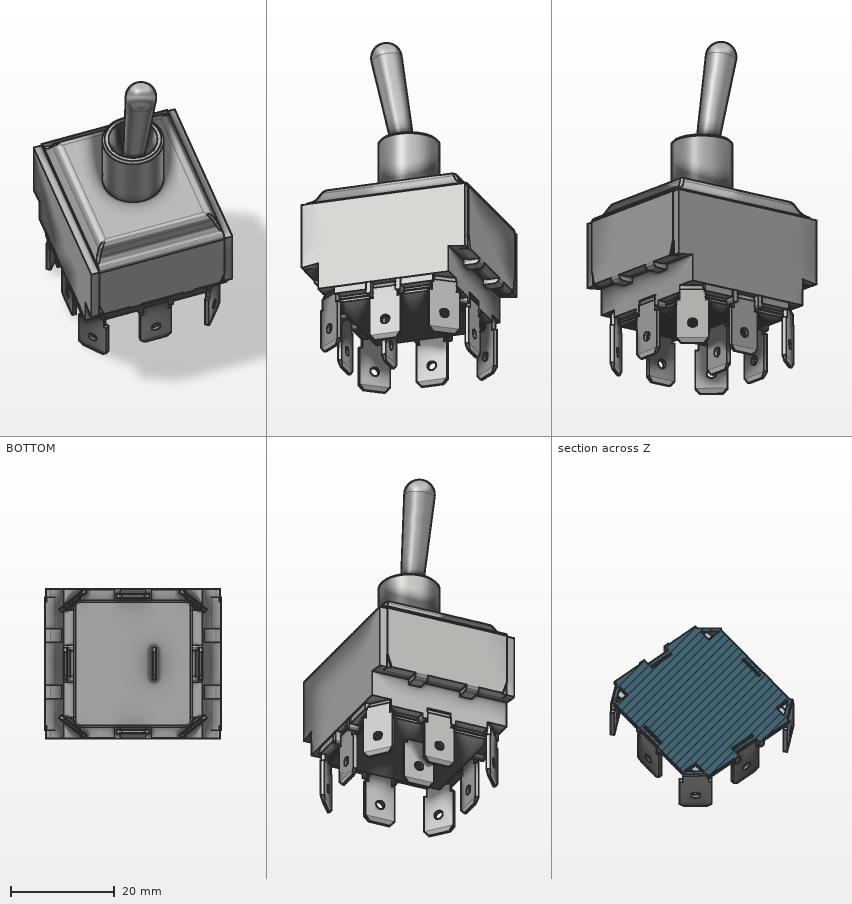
import cadquery as cq
import math

TOTAL_HEIGHT = 66.65

HOUSING_LENGTH = 33.6
HOUSING_WIDTH = 28.85
HOUSING_TOP = 29.5
CORE_LENGTH = 33.2
WING_BOTTOM = 16.6
STEM_LENGTH = 26.8
STEM_BOTTOM = 11.7
WING_RELIEF_LENGTH = 32.0
WING_RELIEF_TOP = 17.0

COVER_LENGTH = 34.0
COVER_WIDTH = 25.6
COVER_TOP = 33.6
COVER_BOTTOM = 16.7
COVER_CORNER_CUT = 0.85
COVER_CORNER_CUT_HEIGHT = 2.65
FLAT_HALF_LENGTH = 12.4
FLAT_HALF_WIDTH = 10.0
CROWN_EDGE_Z = 32.5
CROWN_HALF_LENGTH = 14.0
CROWN_HALF_WIDTH = 11.8
SLOPE_FOOT_HALF_LENGTH = 14.6
SLOPE_FOOT_Z = 31.45
SHOULDER_HALF_LENGTH = 16.05
SHOULDER_Z = 30.4
MITRE_BEVEL = 0.5
DIAGONAL_TURN = 45.0

CLIP_WIDTH = 2.6
CLIP_SPACING = 10.9
CLIP_BOTTOM = 15.7
CLIP_INNER_X = 13.7
CLIP_BEND_RADIUS = COVER_BOTTOM - CLIP_BOTTOM

BASE_BOTTOM = 10.3
BASE_WIDTH = 28.5
CORNER_POCKET_X = 10.1
CORNER_POCKET_Y = 10.3
SOLE_STEP_Z = 9.85
SOLE_BOTTOM = 9.3
SOLE_INSET = 2.0
SOLE_LENGTH = STEM_LENGTH - 2 * SOLE_INSET
SOLE_WIDTH = BASE_WIDTH - 2 * SOLE_INSET
SOLE_STEP = 0.4
RIB_WIDTH = 1.05
RIB_SPAN_X = STEM_LENGTH
RIB_SPAN_Y = 29.0
RIB_TIP_RADIUS = 0.4

BLADE_WIDTH = 6.25
BLADE_THICKNESS = 0.8
BLADE_SHOULDER_Z = 8.65
NECK_WIDTH = 5.0
NECK_BEND_Z = 10.7
NECK_BEND_RUN = 0.5
TIP_WIDTH = 4.4
TIP_THICKNESS = 0.4
TIP_HEIGHT = 1.05
BLADE_HOLE_DIAMETER = 1.8
BLADE_HOLE_Z = 4.0
SIDE_BLADE_OFFSET = 13.05
CORNER_BLADE_X = 11.6
CORNER_BLADE_Y = 12.1
CORNER_BLADE_TURN = 39.0
CENTRE_BLADE_X = 4.05

BUSHING_DIAMETER = 11.85
BUSHING_TOP = 45.6
BUSHING_CHAMFER = 0.45
BUSHING_MOUTH_DIAMETER = 9.45

LEVER_TILT = 10.5
PIVOT_Z = 38.65
PIVOT_DIAMETER = 5.4
LEVER_ROOT_RADIUS = 1.85
LEVER_TIP_RADIUS = 3.0


def block(length, width, bottom, top):
    """Box centred on the Z axis between two heights."""
    return cq.Workplane("XY").workplane(offset=bottom).rect(length, width).extrude(top - bottom)


def make_wing_relief():
    """Space under the wings, rising gently towards the stem."""
    return (
        cq.Workplane("XZ")
        .polyline([
            (-WING_RELIEF_LENGTH / 2, WING_BOTTOM),
            (WING_RELIEF_LENGTH / 2, WING_BOTTOM),
            (STEM_LENGTH / 2, WING_RELIEF_TOP),
            (-STEM_LENGTH / 2, WING_RELIEF_TOP),
        ])
        .close()
        .extrude(HOUSING_WIDTH / 2, both=True)
    )


def make_housing():
    """Core between two full-length side plates, with a narrower stem running down through both."""
    core = block(CORE_LENGTH, COVER_WIDTH, COVER_BOTTOM, HOUSING_TOP)
    wings = block(HOUSING_LENGTH, HOUSING_WIDTH, WING_BOTTOM, HOUSING_TOP).cut(
        block(HOUSING_LENGTH, COVER_WIDTH, WING_BOTTOM, HOUSING_TOP)
    )
    stem = block(STEM_LENGTH, HOUSING_WIDTH, STEM_BOTTOM, HOUSING_TOP)
    return core.union(wings).cut(make_wing_relief()).union(stem)


def make_mitre_envelope():
    """Solid whose diagonal flanks bevel the four mitred corners of the cover."""
    reach = COVER_LENGTH
    half_width = COVER_WIDTH / 2
    drop_share = (CROWN_EDGE_Z - SLOPE_FOOT_Z) / (CROWN_EDGE_Z - SHOULDER_Z)
    slope_foot_half_width = CROWN_HALF_WIDTH + drop_share * (half_width - CROWN_HALF_WIDTH)

    def diagonal(x, y, bevel):
        return (x + y - bevel) / math.sqrt(2)

    flat_d = diagonal(FLAT_HALF_LENGTH, FLAT_HALF_WIDTH, 0)
    crown_d = diagonal(CROWN_HALF_LENGTH, CROWN_HALF_WIDTH, MITRE_BEVEL)
    foot_d = diagonal(SLOPE_FOOT_HALF_LENGTH, slope_foot_half_width, MITRE_BEVEL)
    shoulder_d = diagonal(SHOULDER_HALF_LENGTH, half_width, 0)
    half_profile = (
        cq.Workplane("XZ")
        .moveTo(0, COVER_TOP)
        .lineTo(flat_d, COVER_TOP)
        .tangentArcPoint((crown_d, CROWN_EDGE_Z), relative=False)
        .lineTo(foot_d, SLOPE_FOOT_Z)
        .tangentArcPoint((shoulder_d, SHOULDER_Z), relative=False)
        .lineTo(reach, SHOULDER_Z)
        .lineTo(reach, COVER_BOTTOM)
        .lineTo(0, COVER_BOTTOM)
        .close()
        .extrude(reach, both=True)
    )
    profile = half_profile.union(half_profile.mirror("YZ"))
    turned = profile.rotate((0, 0, 0), (0, 0, 1), DIAGONAL_TURN)
    return turned.intersect(profile.rotate((0, 0, 0), (0, 0, 1), -DIAGONAL_TURN))


def make_cover():
    """Crowned cover whose end panels have clipped lower corners."""
    half_length = COVER_LENGTH / 2
    half_width = COVER_WIDTH / 2
    half_lengthwise = (
        cq.Workplane("XZ")
        .moveTo(0, COVER_TOP)
        .lineTo(FLAT_HALF_LENGTH, COVER_TOP)
        .tangentArcPoint((CROWN_HALF_LENGTH, CROWN_EDGE_Z), relative=False)
        .lineTo(SLOPE_FOOT_HALF_LENGTH, SLOPE_FOOT_Z)
        .tangentArcPoint((SHOULDER_HALF_LENGTH, SHOULDER_Z), relative=False)
        .tangentArcPoint((half_length, HOUSING_TOP), relative=False)
        .lineTo(half_length, COVER_BOTTOM)
        .lineTo(0, COVER_BOTTOM)
        .close()
        .extrude(half_width, both=True)
    )
    half_crosswise = (
        cq.Workplane("YZ")
        .moveTo(0, COVER_TOP)
        .lineTo(FLAT_HALF_WIDTH, COVER_TOP)
        .tangentArcPoint((CROWN_HALF_WIDTH, CROWN_EDGE_Z), relative=False)
        .lineTo(half_width, SHOULDER_Z)
        .lineTo(half_width, COVER_BOTTOM + COVER_CORNER_CUT_HEIGHT)
        .lineTo(half_width - COVER_CORNER_CUT, COVER_BOTTOM)
        .lineTo(0, COVER_BOTTOM)
        .close()
        .extrude(half_length, both=True)
    )
    lengthwise = half_lengthwise.union(half_lengthwise.mirror("YZ"))
    crosswise = half_crosswise.union(half_crosswise.mirror("XZ"))
    cover = lengthwise.intersect(crosswise)
    return cover.intersect(make_mitre_envelope()).cut(make_wing_relief())


def make_clips():
    """Four clips, rounded where they bend under the cover end panels."""
    clip_length = COVER_LENGTH / 2 - CLIP_INNER_X
    clip = (
        cq.Workplane("XY")
        .workplane(offset=CLIP_BOTTOM)
        .center(CLIP_INNER_X + clip_length / 2, 0)
        .rect(clip_length, CLIP_WIDTH)
        .extrude(WING_RELIEF_TOP - CLIP_BOTTOM)
        .edges(">X and <Z")
        .fillet(CLIP_BEND_RADIUS)
    )
    pair = clip.translate((0, CLIP_SPACING / 2, 0)).union(clip.translate((0, -CLIP_SPACING / 2, 0)))
    return pair.union(pair.mirror("YZ"))


def make_base():
    """Cross-shaped base with open corners, standing on a stepped sole."""
    lengthwise_core = block(2 * CORNER_POCKET_X, BASE_WIDTH, BASE_BOTTOM, STEM_BOTTOM)
    crosswise_core = block(STEM_LENGTH, 2 * CORNER_POCKET_Y, BASE_BOTTOM, STEM_BOTTOM)
    base = lengthwise_core.union(crosswise_core)

    pocket_floor = SIDE_BLADE_OFFSET - NECK_BEND_RUN - BLADE_THICKNESS / 2
    neck_lanes = block(STEM_LENGTH, NECK_WIDTH, BASE_BOTTOM, STEM_BOTTOM).union(
        block(NECK_WIDTH, BASE_WIDTH, BASE_BOTTOM, STEM_BOTTOM)
    )
    pockets = neck_lanes.cut(block(2 * pocket_floor, 2 * pocket_floor, BASE_BOTTOM, STEM_BOTTOM))
    base = base.cut(pockets)

    upper_sole = block(SOLE_LENGTH, SOLE_WIDTH, SOLE_STEP_Z, BASE_BOTTOM)
    lower_sole = block(SOLE_LENGTH - 2 * SOLE_STEP, SOLE_WIDTH - 2 * SOLE_STEP, SOLE_BOTTOM, SOLE_STEP_Z)
    return base.union(upper_sole).union(lower_sole)


def make_ribs():
    """Round-tipped ribs on both flanks of each side blade neck."""
    offset = (NECK_WIDTH + RIB_WIDTH) / 2

    def rib_bar(length, width, tip_edges):
        bar = block(length, width, SOLE_BOTTOM, STEM_BOTTOM)
        return bar.edges(tip_edges).fillet(RIB_TIP_RADIUS)

    along_x = rib_bar(RIB_SPAN_X, RIB_WIDTH, "|X and <Z")
    along_y = rib_bar(RIB_WIDTH, RIB_SPAN_Y, "|Y and <Z")
    ribs = cq.Workplane("XY")
    for side in (-offset, offset):
        ribs = ribs.union(along_x.translate((0, side, 0))).union(along_y.translate((side, 0, 0)))
    return ribs.cut(block(SOLE_LENGTH, SOLE_WIDTH, SOLE_BOTTOM, STEM_BOTTOM))


def make_blade(bent):
    """Blade in the XZ plane whose outer side faces -Y; a bent neck leans inward, towards +Y."""
    half = BLADE_THICKNESS / 2
    lean = NECK_BEND_RUN if bent else 0
    outline_right = [
        (TIP_WIDTH / 2, 0),
        (BLADE_WIDTH / 2, TIP_HEIGHT),
        (BLADE_WIDTH / 2, BLADE_SHOULDER_Z),
        (NECK_WIDTH / 2, BLADE_SHOULDER_Z),
        (NECK_WIDTH / 2, STEM_BOTTOM),
    ]
    outline_left = [(-x, z) for x, z in reversed(outline_right)]
    face = cq.Workplane("XZ").polyline(outline_right + outline_left).close()
    reach = lean + BLADE_THICKNESS
    side = (
        cq.Workplane("YZ")
        .polyline([
            (-TIP_THICKNESS / 2, 0),
            (TIP_THICKNESS / 2, 0),
            (half, TIP_HEIGHT),
            (half, NECK_BEND_Z),
            (half + lean, STEM_BOTTOM),
            (-half + lean, STEM_BOTTOM),
            (-half, NECK_BEND_Z),
            (-half, TIP_HEIGHT),
        ])
        .close()
        .extrude(BLADE_WIDTH / 2, both=True)
    )
    hole = (
        cq.Workplane("XZ")
        .center(0, BLADE_HOLE_Z)
        .circle(BLADE_HOLE_DIAMETER / 2)
        .extrude(BLADE_THICKNESS, both=True)
    )
    return face.extrude(reach, both=True).intersect(side).cut(hole)


def make_blades():
    """Eight bent blades around the rim and one straight blade near the middle."""
    bent_blade = make_blade(bent=True)

    def placed(blade, turn, x, y):
        return blade.rotate((0, 0, 0), (0, 0, 1), turn).translate((x, y, 0))

    blades = placed(make_blade(bent=False), 90, CENTRE_BLADE_X, 0)
    for x_side in (-1, 1):
        side_turn = 90 * x_side
        blades = blades.union(placed(bent_blade, side_turn, x_side * SIDE_BLADE_OFFSET, 0))
    for y_side in (-1, 1):
        facing = 0 if y_side < 0 else 180
        blades = blades.union(placed(bent_blade, facing, 0, y_side * SIDE_BLADE_OFFSET))
        for x_side in (-1, 1):
            turn = facing - x_side * y_side * CORNER_BLADE_TURN
            blades = blades.union(
                placed(bent_blade, turn, x_side * CORNER_BLADE_X, y_side * CORNER_BLADE_Y)
            )
    return blades


def make_bushing():
    """Bushing with a conical mouth that narrows down to the pivot ball."""
    outer = BUSHING_DIAMETER / 2
    return (
        cq.Workplane("XZ")
        .polyline([
            (0, HOUSING_TOP),
            (outer, HOUSING_TOP),
            (outer, BUSHING_TOP - BUSHING_CHAMFER),
            (outer - BUSHING_CHAMFER, BUSHING_TOP),
            (BUSHING_MOUTH_DIAMETER / 2, BUSHING_TOP),
            (PIVOT_DIAMETER / 2, PIVOT_Z),
            (0, PIVOT_Z),
        ])
        .close()
        .revolve(360, (0, 0), (0, 1))
    )


def make_lever():
    """Tapered handle with a ball tip, tilted towards +X about the pivot ball."""
    rise = TOTAL_HEIGHT - LEVER_TIP_RADIUS - PIVOT_Z
    tip_distance = rise / math.cos(math.radians(LEVER_TILT))
    handle = (
        cq.Workplane("XZ")
        .moveTo(0, 0)
        .lineTo(LEVER_ROOT_RADIUS, 0)
        .lineTo(LEVER_TIP_RADIUS, tip_distance)
        .lineTo(0, tip_distance)
        .close()
        .revolve(360, (0, 0), (0, 1))
    )
    tip = cq.Workplane("XY").sphere(LEVER_TIP_RADIUS).translate((0, 0, tip_distance))
    pivot = cq.Workplane("XY").sphere(PIVOT_DIAMETER / 2)
    lever = handle.union(tip).rotate((0, 0, 0), (0, 1, 0), LEVER_TILT)
    return lever.union(pivot).translate((0, 0, PIVOT_Z))


result = (
    make_housing()
    .union(make_cover())
    .union(make_clips())
    .union(make_base())
    .union(make_ribs())
    .union(make_blades())
    .union(make_bushing())
    .union(make_lever())
)